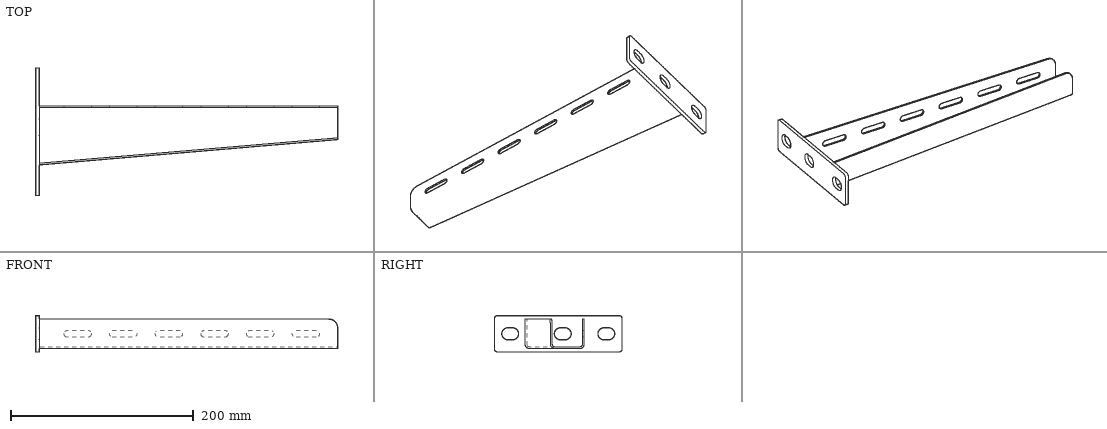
import cadquery as cq
import math

TOTAL_LENGTH = 331.0

PLATE_THICKNESS = 4.0
PLATE_WIDTH = 140.0
PLATE_HEIGHT = 40.0
PLATE_CORNER_RADIUS = 3.3
MOUNT_SLOT_LENGTH = 18.2
MOUNT_SLOT_HEIGHT = 13.0
OUTER_SLOT_OFFSET = 52.5
INNER_SLOT_OFFSET = 5.0

SHEET = 2.0
BEND_INNER_RADIUS = 3.0
BEND_OUTER_RADIUS = BEND_INNER_RADIUS + SHEET
ARM_HEIGHT = 32.5
ARM_TOP = ARM_HEIGHT / 2
ARM_BOTTOM = -ARM_HEIGHT / 2
BACK_Y = 28.5
ROOT_FRONT_Y = -36.5
TIP_FRONT_Y = -8.5
TIP_CORNER_RADIUS = 10.0
ARM_LENGTH = TOTAL_LENGTH - PLATE_THICKNESS

SIDE_SLOT_COUNT = 6
SIDE_SLOT_PITCH = 50.0
SIDE_SLOT_LENGTH = 30.0
SIDE_SLOT_HEIGHT = 7.0
SIDE_SLOT_Z = 0.0
LAST_SLOT_TO_TIP = 35.0


def make_plate():
    """Rounded end plate with three horizontal mounting slots."""
    slot_centres = [(y, 0) for y in (-OUTER_SLOT_OFFSET, INNER_SLOT_OFFSET, OUTER_SLOT_OFFSET)]
    blank = (
        cq.Workplane("YZ")
        .rect(PLATE_WIDTH, PLATE_HEIGHT)
        .extrude(PLATE_THICKNESS)
        .edges("|X")
        .fillet(PLATE_CORNER_RADIUS)
    )
    slots = (
        cq.Workplane("YZ")
        .pushPoints(slot_centres)
        .slot2D(MOUNT_SLOT_LENGTH, MOUNT_SLOT_HEIGHT)
        .extrude(PLATE_THICKNESS)
    )
    return blank.cut(slots)


def tapered_block(inset, floor_z, bend_radius):
    """Tapered prism up to the arm top, set in from the outer flange faces, with rounded lower edges."""
    taper_angle = math.atan2(TIP_FRONT_Y - ROOT_FRONT_Y, ARM_LENGTH)
    front_inset = inset / math.cos(taper_angle)
    block = (
        cq.Workplane("XY", origin=(0, 0, floor_z))
        .moveTo(PLATE_THICKNESS, BACK_Y - inset)
        .lineTo(PLATE_THICKNESS, ROOT_FRONT_Y + front_inset)
        .lineTo(TOTAL_LENGTH, TIP_FRONT_Y + front_inset)
        .lineTo(TOTAL_LENGTH, BACK_Y - inset)
        .close()
        .extrude(ARM_TOP - floor_z)
    )
    return block.faces("<Z").edges("not(<X or >X)").fillet(bend_radius)


def tip_outline():
    """Side outline of the arm, its upper tip corner rounded, as a block across the whole width."""
    return (
        cq.Workplane("XZ")
        .moveTo(PLATE_THICKNESS, ARM_BOTTOM)
        .lineTo(TOTAL_LENGTH, ARM_BOTTOM)
        .lineTo(TOTAL_LENGTH, ARM_TOP - TIP_CORNER_RADIUS)
        .radiusArc((TOTAL_LENGTH - TIP_CORNER_RADIUS, ARM_TOP), -TIP_CORNER_RADIUS)
        .lineTo(PLATE_THICKNESS, ARM_TOP)
        .close()
        .extrude(PLATE_WIDTH / 2, both=True)
    )


def side_slots():
    """Cutters for the evenly spaced slots of the back flange."""
    last_x = TOTAL_LENGTH - LAST_SLOT_TO_TIP
    centres = [(last_x - i * SIDE_SLOT_PITCH, SIDE_SLOT_Z) for i in range(SIDE_SLOT_COUNT)]
    return (
        cq.Workplane("XZ", origin=(0, BACK_Y, 0))
        .pushPoints(centres)
        .slot2D(SIDE_SLOT_LENGTH, SIDE_SLOT_HEIGHT)
        .extrude(SHEET)
    )


def make_arm():
    """U-channel that narrows from the plate towards its tip."""
    outside = tapered_block(0, ARM_BOTTOM, BEND_OUTER_RADIUS)
    inside = tapered_block(SHEET, ARM_BOTTOM + SHEET, BEND_INNER_RADIUS)
    return outside.cut(inside).intersect(tip_outline()).cut(side_slots())


plate = make_plate()
arm = make_arm()
result = cq.Compound.makeCompound([plate.val(), *arm.vals()])